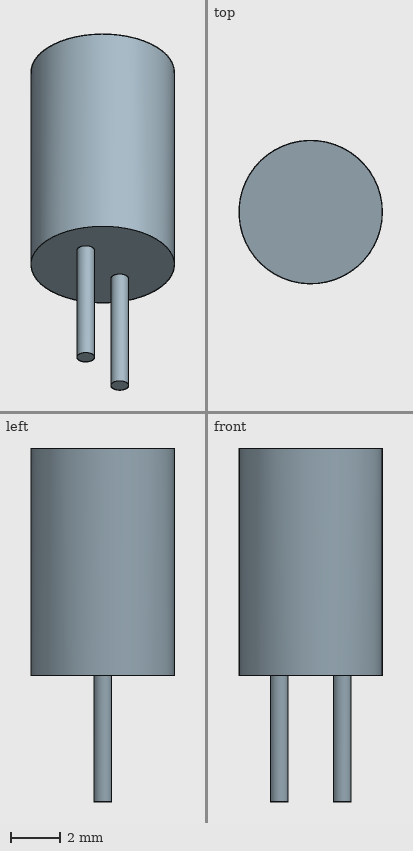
import cadquery as cq

total_height = 14.3
can_diameter = 5.8
can_height = 9.2

lead_diameter = 0.72
lead_spacing = 2.55
lead_length = total_height - can_height


def make_can():
    """Plain round can standing on the plane Z = 0."""
    return cq.Workplane("XY").circle(can_diameter / 2).extrude(can_height)


def make_lead(x):
    """Round lead hanging from the underside of the can at the given X."""
    return cq.Workplane("XY").center(x, 0).circle(lead_diameter / 2).extrude(-lead_length)


can = make_can()

leads = []
for side in (-1, 1):
    lead = make_lead(side * lead_spacing / 2)
    leads.append(lead.val())

result = cq.Compound.makeCompound([can.val(), *leads])